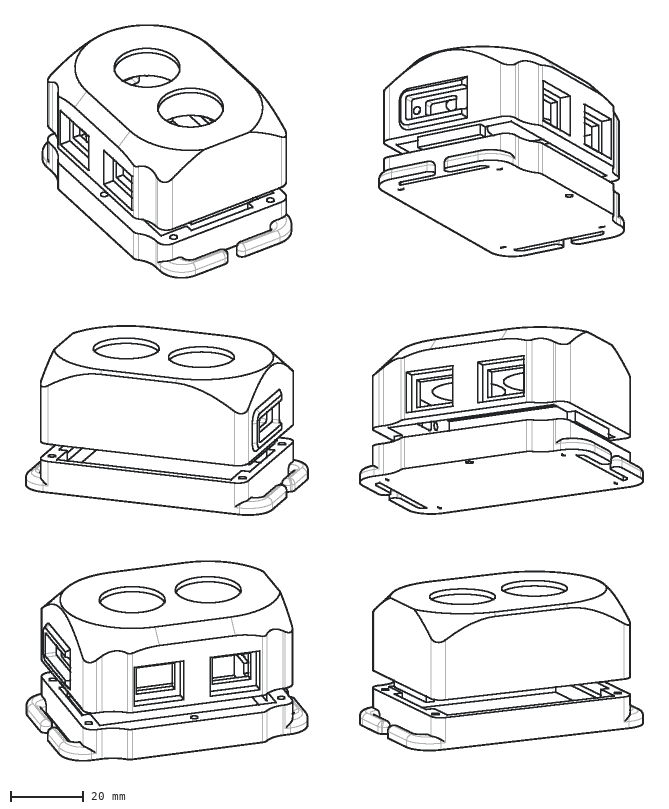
import cadquery as cq
import math

body_half_x = 30.3
body_half_y = 20.8
bulge_front_y = -23.8
corner_radius = 3.0
base_height = 9.0
lid_bottom = 14.0
lid_top = 37.0

feature_center_x = 0.9
bulge_half_flat = 18.8
left_sweep_radius = 10.0
right_sweep_radius = 7.45
blend_radius = 2.0

bore_pitch = 22.0
top_face_radius = 19.8

bore_radius = 9.0
bore_lip = 1.5
bore_wide_radius = 10.0

cavity_half_x = 25.5
cavity_half_y = 18.4
lid_ceiling = 27.0
ledge_bottom = 25.2
ledge_depth = 1.0
base_floor = 2.0

tongue_outer_x = 27.9
tongue_width = 20.05
tongue_length = 3.0

window_pitch = bore_pitch
window_center_z = 21.7
recess_width = 14.3
recess_height = 11.6
recess_floor_y = -20.6
opening_width = 11.2
opening_bottom = 18.0
opening_top = 25.85

port_protrusion = 1.1
port_front_y = -7.15
port_back_y = 14.5
port_bottom = 15.7
port_top = 27.8
port_corner = 3.2
pocket_back_y = 11.8
pocket_height = 7.0
pocket_corner = 0.7
pocket_depth = 3.15
port_center_z = (port_bottom + port_top) / 2
slot_center_y = 2.4
slot_length = 9.9
slot_height = 4.3
slot_corner = 0.85
button_y = 10.2
button_radius = 1.1

screw_radius = 1.0
side_screw_x = 27.85
side_screw_y = 15.8
front_screw_y = -21.1

hook_outer_x = 35.8
hook_width = 3.45
hook_height = 3.5
hook_round = 1.5
hook_corner = 7.0
hook_inner_y = 14.2
hook_inner_corner = 2.0
hook_root_x = body_half_x - corner_radius
hook_tip_radius = 1.6
back_hook_end = 0.4
front_hook_end = 1.8


def block(x0, x1, y0, y1, z0, z1):
    """Box given by its two limits along each axis."""
    return cq.Workplane("XY").box(x1 - x0, y1 - y0, z1 - z0, centered=False).translate((x0, y0, z0))


def bulge_half(sweep_radius, height):
    """Half of the bulge, from its mid-plane towards +X, ending tangent to the front of the housing."""
    depth = -body_half_y - bulge_front_y
    angle = math.acos(1 - depth / (sweep_radius + blend_radius))
    root_x = bulge_half_flat + (sweep_radius + blend_radius) * math.sin(angle)

    def sweep_point(turn):
        return (
            root_x - sweep_radius * math.sin(turn),
            -body_half_y - sweep_radius * (1 - math.cos(turn)),
        )

    def blend_point(turn):
        return (
            bulge_half_flat + blend_radius * math.sin(turn),
            bulge_front_y + blend_radius * (1 - math.cos(turn)),
        )

    return (
        cq.Workplane("XY")
        .moveTo(0, bulge_front_y)
        .lineTo(*blend_point(0))
        .threePointArc(blend_point(angle / 2), blend_point(angle))
        .threePointArc(sweep_point(angle / 2), sweep_point(0))
        .lineTo(root_x, 0)
        .lineTo(0, 0)
        .close()
        .extrude(height)
    )


def housing_outline(z, height):
    """Rounded rectangle with a bulge on the front, extruded upward from z."""
    rectangle = (
        cq.Workplane("XY").box(2 * body_half_x, 2 * body_half_y, height, centered=(True, True, False))
        .edges("|Z").fillet(corner_radius)
    )
    bulge = bulge_half(right_sweep_radius, height).union(bulge_half(left_sweep_radius, height).mirror("YZ"))
    bulge = bulge.translate((feature_center_x, 0, 0))
    return rectangle.union(bulge).translate((0, 0, z))


def top_bevel():
    """Stadium that widens downward at 45 degrees from the top face, as a solid to intersect with."""
    height = lid_top - lid_bottom
    return (
        cq.Workplane("XY").workplane(offset=lid_top).center(feature_center_x, 0)
        .slot2D(bore_pitch + 2 * top_face_radius, 2 * top_face_radius)
        .extrude(-height, taper=-45)
    )


def roof_bore(x):
    """Bore through the roof: a thin lip at the top over a slightly wider bore."""
    lip_bottom = lid_top - bore_lip
    lip = cq.Workplane("XY", origin=(x, 0, lip_bottom)).circle(bore_radius).extrude(bore_lip)
    wide_height = lip_bottom - lid_ceiling
    wide = cq.Workplane("XY", origin=(x, 0, lid_ceiling)).circle(bore_wide_radius).extrude(wide_height)
    return lip.union(wide)


def lid_window(x):
    """Framed window through the front wall: an outer recess and a smaller opening."""
    recess = block(
        x - recess_width / 2, x + recess_width / 2, bulge_front_y, recess_floor_y,
        window_center_z - recess_height / 2, window_center_z + recess_height / 2,
    )
    opening = block(
        x - opening_width / 2, x + opening_width / 2, recess_floor_y, -cavity_half_y,
        opening_bottom, opening_top,
    )
    return recess.union(opening)


def port_frame():
    """Raised frame on the -X side, rooted in the wall, bevelled all around and rounded towards the back."""
    outer_x = -body_half_x - port_protrusion
    frame = (
        block(outer_x, -cavity_half_x, port_front_y, port_back_y, port_bottom, port_top)
        .edges("|X and >Y").fillet(port_corner)
    )
    return frame.faces("<X").chamfer(port_protrusion)


def port_cut():
    """Pocket in the frame with a connector slot and a button hole in its floor."""
    outer_x = -body_half_x - port_protrusion
    floor_x = outer_x + pocket_depth
    half_height = pocket_height / 2
    pocket = block(
        outer_x, floor_x, port_front_y, pocket_back_y,
        port_center_z - half_height, port_center_z + half_height,
    ).edges("|X").fillet(pocket_corner)
    slot = (
        block(
            floor_x, -cavity_half_x,
            slot_center_y - slot_length / 2, slot_center_y + slot_length / 2,
            port_center_z - slot_height / 2, port_center_z + slot_height / 2,
        )
        .edges("|X").fillet(slot_corner)
    )
    button = (
        cq.Workplane("YZ").workplane(offset=floor_x).center(button_y, port_center_z)
        .circle(button_radius).extrude(-cavity_half_x - floor_x)
    )
    return pocket.union(slot).union(button)


def tongue(side, z0, z1):
    """Tongue along one short side; side is -1 or +1."""
    inner, outer = sorted((side * cavity_half_x, side * tongue_outer_x))
    return block(inner, outer, -tongue_width / 2, tongue_width / 2, z0, z1)


def make_lid():
    lid = housing_outline(lid_bottom, lid_top - lid_bottom).intersect(top_bevel())
    cavity = block(-cavity_half_x, cavity_half_x, -cavity_half_y, cavity_half_y, lid_bottom, lid_ceiling)
    ledge = block(
        -cavity_half_x, cavity_half_x, cavity_half_y - ledge_depth, cavity_half_y, ledge_bottom, lid_ceiling
    )
    lid = lid.union(port_frame()).cut(cavity.cut(ledge)).cut(port_cut())
    for side in (-1, 1):
        bore_x = feature_center_x + side * bore_pitch / 2
        lid = lid.cut(roof_bore(bore_x))
        lid = lid.cut(lid_window(feature_center_x + side * window_pitch / 2))
        lid = lid.union(tongue(side, lid_bottom - tongue_length, lid_bottom))
    return lid


def hook(end_y, slant):
    """Strap hook at the +X +Y corner.

    The end of its bar is cut at 45 degrees through y = end_y; the outer side is the longer
    one for slant = 1 and the shorter one for slant = -1.
    """
    outer_end_y = end_y - slant * hook_width / 2
    inner_end_y = end_y + slant * hook_width / 2
    bar_inner_x = hook_outer_x - hook_width
    arc_shift = hook_corner * math.sqrt(0.5)
    inner_shift = hook_inner_corner * math.sqrt(0.5)
    arc_x = hook_outer_x - hook_corner
    arc_y = body_half_y - hook_corner
    inner_arc_x = bar_inner_x - hook_inner_corner
    inner_arc_y = hook_inner_y - hook_inner_corner
    shape = (
        cq.Workplane("XY")
        .moveTo(hook_root_x, body_half_y)
        .lineTo(arc_x, body_half_y)
        .threePointArc((arc_x + arc_shift, arc_y + arc_shift), (hook_outer_x, arc_y))
        .lineTo(hook_outer_x, outer_end_y)
        .lineTo(bar_inner_x, inner_end_y)
        .lineTo(bar_inner_x, inner_arc_y)
        .threePointArc((inner_arc_x + inner_shift, inner_arc_y + inner_shift), (inner_arc_x, hook_inner_y))
        .lineTo(hook_root_x, hook_inner_y)
        .close()
        .extrude(hook_height)
    )
    for x, y in ((hook_outer_x, outer_end_y), (bar_inner_x, inner_end_y)):
        corner = cq.selectors.NearestToPointSelector((x, y, hook_height / 2))
        shape = shape.edges("|Z").edges(corner).fillet(hook_tip_radius)
    return shape.faces(">Z").edges("not(<X)").fillet(hook_round)


def make_base():
    base = housing_outline(0, base_height)
    cavity = block(-cavity_half_x, cavity_half_x, -cavity_half_y, cavity_half_y, base_floor, base_height)
    base = base.cut(cavity)
    for side in (-1, 1):
        base = base.cut(tongue(side, base_height - tongue_length, base_height))
    screw_places = [(x, y) for x in (-side_screw_x, side_screw_x) for y in (-side_screw_y, side_screw_y)]
    screw_places.append((feature_center_x, front_screw_y))
    base = base.cut(cq.Workplane("XY").pushPoints(screw_places).circle(screw_radius).extrude(base_height))
    back_hook = hook(back_hook_end, 1)
    front_hook = hook(front_hook_end, -1).mirror("XZ")
    for right_hook in (back_hook, front_hook):
        base = base.union(right_hook).union(right_hook.mirror("YZ"))
    return base


lid = make_lid()
base = make_base()

result = cq.Compound.makeCompound([lid.solids().val(), base.solids().val()])